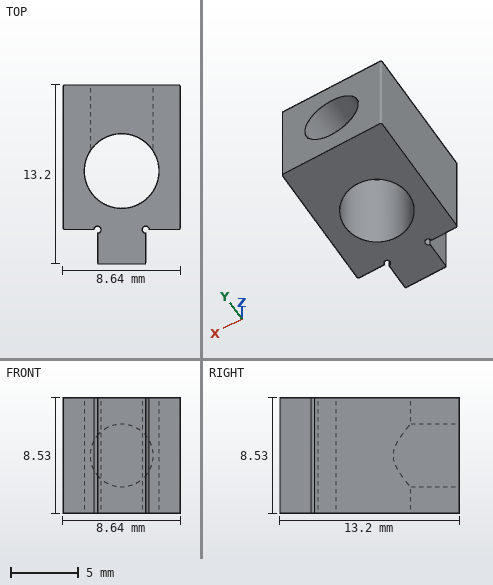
import cadquery as cq
import math

width = 8.636
overall_length = 13.208
height = 8.534
tongue_length = 2.54
body_length = overall_length - tongue_length
edge_radius = 0.152

tongue_width = 3.556
relief_radius = 0.254
lead_in_length = 0.127
lead_in_angle = 15.0
lead_in_depth = lead_in_length * math.tan(math.radians(lead_in_angle))

bore_diameter = 5.486
bore_to_front = 4.318
cross_hole_diameter = 4.623

body_front = -bore_to_front
body_back = body_front + body_length
tongue_tip = body_front - tongue_length


def make_body():
    """Block with the bore axis at X = Y = 0 and its base at Z = 0."""
    return (
        cq.Workplane("XY")
        .center(0, (body_front + body_back) / 2)
        .rect(width, body_length)
        .extrude(height)
        .edges("|Z")
        .fillet(edge_radius)
    )


def make_tongue():
    """Full-height tongue with narrow lead-in flats at the tip."""
    half_width = tongue_width / 2
    tip_half_width = half_width - lead_in_depth
    shoulder = tongue_tip + lead_in_length
    return (
        cq.Workplane("XY")
        .moveTo(-half_width, 0)
        .lineTo(-half_width, shoulder)
        .lineTo(-tip_half_width, tongue_tip)
        .lineTo(tip_half_width, tongue_tip)
        .lineTo(half_width, shoulder)
        .lineTo(half_width, 0)
        .close()
        .extrude(height)
    )


def make_relief_grooves():
    """Round grooves centred on the inner corners between tongue and body."""
    corners = [(side * tongue_width / 2, body_front) for side in (-1, 1)]
    return cq.Workplane("XY").pushPoints(corners).circle(relief_radius).extrude(height)


def make_bore():
    return cq.Workplane("XY").circle(bore_diameter / 2).extrude(height)


def make_cross_hole():
    """Hole along Y at mid height, from the bore axis out through the +Y face."""
    return (
        cq.Workplane("XZ")
        .center(0, height / 2)
        .circle(cross_hole_diameter / 2)
        .extrude(-body_back)
    )


result = (
    make_body()
    .union(make_tongue())
    .cut(make_relief_grooves())
    .cut(make_bore())
    .cut(make_cross_hole())
)